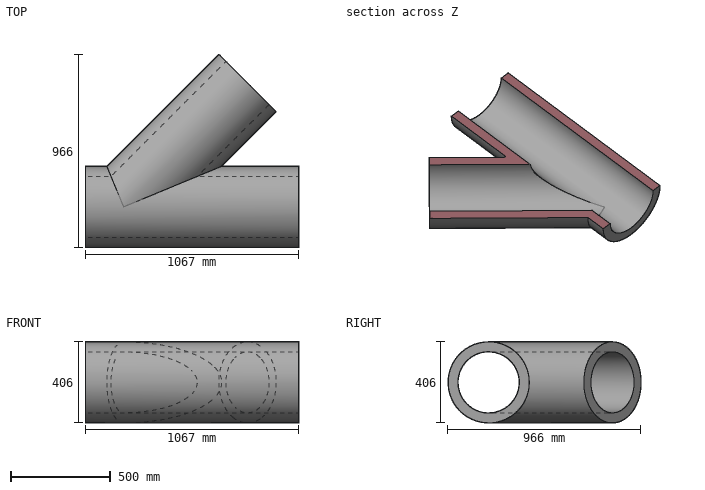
import cadquery as cq
import math

run_length = 1067.0
outer_diameter = 406.0
bore_diameter = 305.0
junction_from_inlet = 191.0
branch_angle = 45.0
branch_length = 876.0

inlet = (-junction_from_inlet, 0, 0)
junction = (0, 0, 0)
run_direction = (1, 0, 0)
branch_direction = (
    math.cos(math.radians(branch_angle)),
    math.sin(math.radians(branch_angle)),
    0,
)


def cylinder(start, direction, diameter, length):
    """Solid cylinder whose axis leaves the start point along the direction."""
    plane = cq.Plane(origin=start, xDir=(0, 0, 1), normal=direction)
    return cq.Workplane(plane).circle(diameter / 2).extrude(length)


def wye(diameter):
    """Run and branch cylinders of one diameter, joined at the junction."""
    run = cylinder(inlet, run_direction, diameter, run_length)
    branch = cylinder(junction, branch_direction, diameter, branch_length)
    return run.union(branch)


result = wye(outer_diameter).cut(wye(bore_diameter))